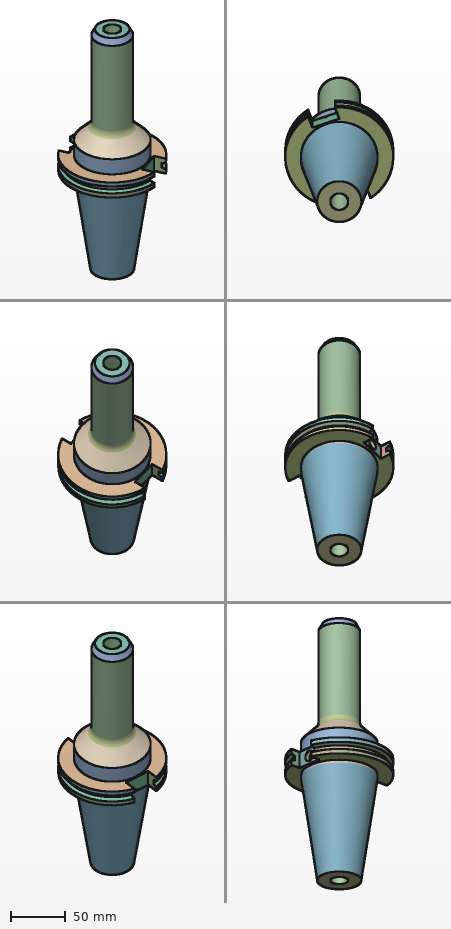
import cadquery as cq
import math

total_height = 254.0
gauge_height = 101.5
flange_bottom = 104.6
flange_top = 120.6
shoulder_top = 136.7

body_radius = 69.8 / 2
taper_ratio = 7 / 24
taper_end_radius = body_radius - gauge_height * taper_ratio / 2
shank_radius = 19.0
tip_radius = 15.7
tip_chamfer_height = 6.4
neck_fillet_radius = 9.5
bore_radius = 8.1

flange_radius = 98.5 / 2
groove_floor_radius = 45.2
groove_mouth_width = 7.0
groove_floor_width = 3.5
flange_middle = (flange_bottom + flange_top) / 2

slot_width = 26.0
left_slot_floor = 37.5
right_slot_floor = 35.8

side_hole_diameter = 10.0
side_hole_depth = 5.0


def make_body():
    """Revolve the taper, shoulder, 45 degree cone, neck fillet and shank."""
    cos45 = math.sqrt(0.5)
    cone_end_radius = shank_radius + neck_fillet_radius * (1 - cos45)
    cone_end_height = shoulder_top + body_radius - cone_end_radius
    fillet_top = cone_end_height + neck_fillet_radius * cos45
    half_angle = math.radians(22.5)
    fillet_middle = (
        shank_radius + neck_fillet_radius * (1 - math.cos(half_angle)),
        fillet_top - neck_fillet_radius * math.sin(half_angle),
    )
    return (
        cq.Workplane("XZ")
        .lineTo(taper_end_radius, 0)
        .lineTo(body_radius, gauge_height)
        .lineTo(body_radius, shoulder_top)
        .lineTo(cone_end_radius, cone_end_height)
        .threePointArc(fillet_middle, (shank_radius, fillet_top))
        .lineTo(shank_radius, total_height - tip_chamfer_height)
        .lineTo(tip_radius, total_height)
        .lineTo(0, total_height)
        .close()
        .revolve(360, (0, 0), (0, 1))
    )


def make_flange():
    """Revolve the flange with a groove of sloping sides around its rim."""
    half_mouth = groove_mouth_width / 2
    half_floor = groove_floor_width / 2
    return (
        cq.Workplane("XZ")
        .moveTo(0, flange_bottom)
        .lineTo(flange_radius, flange_bottom)
        .lineTo(flange_radius, flange_middle - half_mouth)
        .lineTo(groove_floor_radius, flange_middle - half_floor)
        .lineTo(groove_floor_radius, flange_middle + half_floor)
        .lineTo(flange_radius, flange_middle + half_mouth)
        .lineTo(flange_radius, flange_top)
        .lineTo(0, flange_top)
        .close()
        .revolve(360, (0, 0), (0, 1))
    )


def cut_slot(flange, side, floor_distance):
    """Cut a drive slot through the flange on the +X (1) or -X (-1) side."""
    slot = cq.Workplane("XY").box(
        flange_radius, slot_width, flange_top - flange_bottom
    )
    center_x = side * (floor_distance + flange_radius / 2)
    return flange.cut(slot.translate((center_x, 0, flange_middle)))


def make_side_hole():
    """Cylinder running from the left slot floor toward the axis."""
    return (
        cq.Workplane("YZ", origin=(-left_slot_floor, 0, flange_middle))
        .circle(side_hole_diameter / 2)
        .extrude(side_hole_depth)
    )


flange = cut_slot(make_flange(), -1, left_slot_floor)
flange = cut_slot(flange, 1, right_slot_floor)
bore = cq.Workplane("XY").circle(bore_radius).extrude(total_height)

result = make_body().union(flange).cut(make_side_hole()).cut(bore)